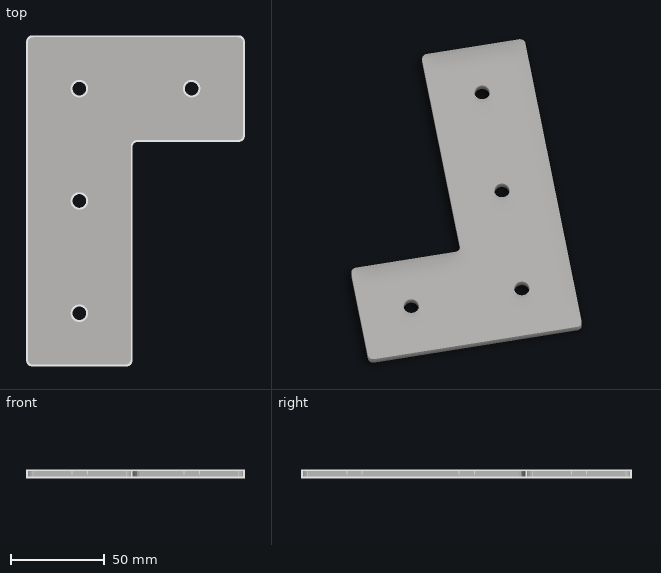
import cadquery as cq

thickness = 4.0
hole_pitch = 60.0
edge_distance = 28.0
hole_diameter = 8.2
corner_radius = 3.0

arm_width = 2 * edge_distance
length_x = hole_pitch + arm_width
length_y = 2 * hole_pitch + arm_width

corner_hole_x = edge_distance
corner_hole_y = length_y - edge_distance
hole_centres = [
    (corner_hole_x, corner_hole_y),
    (corner_hole_x + hole_pitch, corner_hole_y),
    (corner_hole_x, corner_hole_y - hole_pitch),
    (corner_hole_x, corner_hole_y - 2 * hole_pitch),
]


def make_plate():
    """L-shaped plate with every vertical edge rounded."""
    outline = [
        (0, 0),
        (arm_width, 0),
        (arm_width, length_y - arm_width),
        (length_x, length_y - arm_width),
        (length_x, length_y),
        (0, length_y),
    ]
    plate = cq.Workplane("XY").polyline(outline).close().extrude(thickness)
    return plate.edges("|Z").fillet(corner_radius)


def drill_holes(plate):
    """Plain through holes along the centre lines of both arms."""
    drills = (
        cq.Workplane("XY")
        .pushPoints(hole_centres)
        .circle(hole_diameter / 2)
        .extrude(thickness)
    )
    return plate.cut(drills)


result = drill_holes(make_plate())